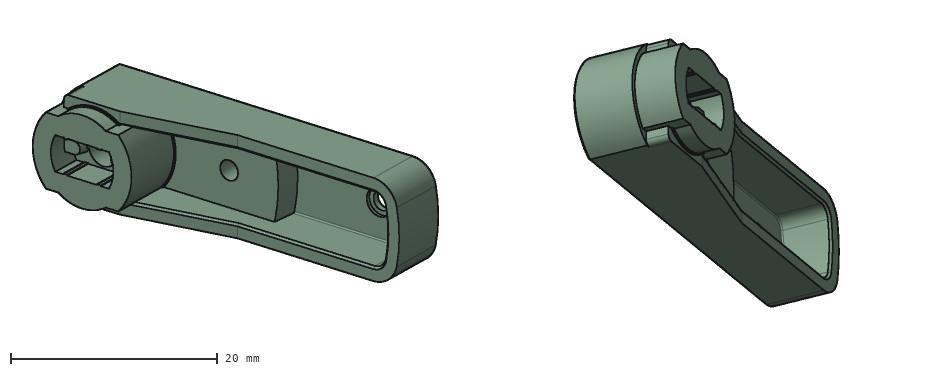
import cadquery as cq
import math


LENGTH = 41.5
HALF_WIDTH = 11.0 / 2
BUTT_RADIUS = 6.5
TIP_X = LENGTH - BUTT_RADIUS
TIP_BOW_RADIUS = 16.6
TIP_CORNER_RADIUS = 2.9
BODY_DEPTH = 6.55
BACK_CROWN = 0.1
BACK_BEVEL = 0.25
BEVEL_ANGLE = 45.0

WALL_DEPTH = 9.0
WALL_START_X = -3.7
WALL_CORNER_RADIUS = 0.6
RAMP_START_X = 3.05
RAMP_END_X = 15.45

HUB_DEPTH = 11.0
HUB_RADIUS = 5.98
HUB_FOOT_RADIUS = 6.1
HUB_FOOT_HEIGHT = 0.15
HUB_FLAT = 4.05
HUB_LOBE_RADIUS = 5.0
LOBE_COLLAR_RADIUS = 5.15
LOBE_COLLAR_DEPTH = 9.17

POCKET_INSET = 1.55
POCKET_FLOOR = 1.15
UPPER_FLOOR = 4.03
POCKET_START_X = 3.15
FLOOR_FILLET = 0.15
RIM_CHAMFER = 0.25
STEP_TOP_RADIUS = 18.45
STEP_FOOT_RADIUS = 18.68

SLOT_RADIUS = 3.78
SLOT_HALF_HEIGHT = 1.95
SLOT_DEPTH = 3.4
HUB_HOLE_RADIUS = 1.722
TONGUE_RADIUS = 0.935
TONGUE_INNER_X = 1.65
TONGUE_HEIGHT = 1.25
TONGUE_DRAFT = 9.5
RIB_X = 2.05
RIB_WIDTH = 0.45
RIB_HEIGHT = 0.1

MIDDLE_HOLE_X = 12.55
MIDDLE_HOLE_RADIUS = 1.08
TIP_HOLE_X = 28.55
TIP_HOLE_RADIUS = 1.05
COUNTERBORE_RADIUS = 1.55
COUNTERBORE_DEPTH = 0.4


def level(depth):
    """Work plane at a depth level, facing the front (-Y)."""
    return cq.Workplane("XZ", origin=(0, -depth, 0))


def cylinder(radius, start, end, x=0.0):
    return level(start).center(x, 0).circle(radius).extrude(end - start)


def lever_prism(inset, start, end, draft=0.0):
    """Prism on the lever outline, inset evenly, narrowing toward its end if drafted."""
    half = HALF_WIDTH - inset
    butt = BUTT_RADIUS - inset
    bow = TIP_BOW_RADIUS - inset
    tip = TIP_X - inset
    corner = TIP_CORNER_RADIUS - inset
    bow_center = tip - bow
    corner_z = half - corner
    corner_x = bow_center + math.sqrt((bow - corner) ** 2 - corner_z ** 2)
    bow_angle = math.atan2(corner_z, corner_x - bow_center)
    mid_angle = (bow_angle + math.pi / 2) / 2
    end_x = bow_center + bow * math.cos(bow_angle)
    end_z = bow * math.sin(bow_angle)
    mid_x = corner_x + corner * math.cos(mid_angle)
    mid_z = corner_z + corner * math.sin(mid_angle)
    butt_x = -math.sqrt(butt ** 2 - half ** 2)
    return (
        level(start)
        .moveTo(butt_x, half)
        .lineTo(corner_x, half)
        .threePointArc((mid_x, mid_z), (end_x, end_z))
        .threePointArc((tip, 0), (end_x, -end_z))
        .threePointArc((mid_x, -mid_z), (corner_x, -half))
        .lineTo(butt_x, -half)
        .threePointArc((-butt, 0), (butt_x, half))
        .close()
        .extrude(end - start, taper=draft)
    )


def make_body():
    """Crowned lever with a bevelled back edge, without the raised walls."""
    bevel = lever_prism(0, BACK_BEVEL, 0, BEVEL_ANGLE)
    body = lever_prism(0, BACK_BEVEL, BODY_DEPTH).union(bevel)
    crown_radius = (HALF_WIDTH ** 2 + BACK_CROWN ** 2) / (2 * BACK_CROWN)
    crown = (
        cq.Workplane("YZ", origin=(-BUTT_RADIUS, 0, 0))
        .center(-crown_radius, 0)
        .circle(crown_radius)
        .extrude(LENGTH)
    )
    return body.intersect(crown)


def make_walls():
    """Raised front part that ramps down to the body level."""
    walls = (
        cq.Workplane("XY", origin=(0, 0, -HALF_WIDTH))
        .moveTo(WALL_START_X, -BODY_DEPTH)
        .lineTo(WALL_START_X, -WALL_DEPTH)
        .lineTo(RAMP_START_X, -WALL_DEPTH)
        .lineTo(RAMP_END_X, -BODY_DEPTH)
        .close()
        .extrude(2 * HALF_WIDTH)
    )
    return walls.edges("<X and |Y").fillet(WALL_CORNER_RADIUS)


def plain_pocket(floor):
    """Cutter from the wall level down to a floor with rounded floor edges."""
    cutter = lever_prism(POCKET_INSET, WALL_DEPTH, floor)
    return cutter.faces(">Y").edges().fillet(FLOOR_FILLET)


def make_pocket():
    """Pocket cutter with a step up to the higher floor by the hub."""
    lower = plain_pocket(POCKET_FLOOR)
    step_height = UPPER_FLOOR - POCKET_FLOOR
    step_draft = math.degrees(math.atan((STEP_FOOT_RADIUS - STEP_TOP_RADIUS) / step_height))
    step = level(POCKET_FLOOR).circle(STEP_FOOT_RADIUS).extrude(step_height, taper=step_draft)
    hub_side = (
        level(0)
        .center(POCKET_START_X - BUTT_RADIUS, 0)
        .rect(2 * BUTT_RADIUS, 2 * HALF_WIDTH)
        .extrude(WALL_DEPTH)
    )
    return plain_pocket(UPPER_FLOOR).union(lower.cut(step)).cut(hub_side)


def chamfer_rim(lever):
    """Chamfer the front edges of the pocket, along the ramps and around the tip."""
    zone_start_x = POCKET_START_X + RIM_CHAMFER
    zone_end_x = TIP_X - POCKET_INSET + RIM_CHAMFER
    zone_half_width = HALF_WIDTH - POCKET_INSET + RIM_CHAMFER
    rim_zone = cq.selectors.BoxSelector(
        (zone_start_x, -WALL_DEPTH, -zone_half_width),
        (zone_end_x, RIM_CHAMFER - BODY_DEPTH, zone_half_width),
    )
    return lever.edges(rim_zone).chamfer(RIM_CHAMFER)


def make_hub():
    """Round hub with two flats, and a round lobe with a low collar on each flat."""
    hub_height = HUB_DEPTH - UPPER_FLOOR
    flats = level(UPPER_FLOOR).rect(2 * HUB_FOOT_RADIUS, 2 * HUB_FLAT).extrude(hub_height)
    hub = cylinder(HUB_RADIUS, UPPER_FLOOR, HUB_DEPTH)
    hub = hub.union(cylinder(HUB_FOOT_RADIUS, UPPER_FLOOR, UPPER_FLOOR + HUB_FOOT_HEIGHT))
    hub = hub.intersect(flats)
    hub = hub.union(cylinder(HUB_LOBE_RADIUS, BODY_DEPTH, HUB_DEPTH))
    return hub.union(cylinder(LOBE_COLLAR_RADIUS, BODY_DEPTH, LOBE_COLLAR_DEPTH))


def make_slot():
    """Key slot cutter: two tongues on its floor and ribs along its long sides."""
    floor = HUB_DEPTH - SLOT_DEPTH
    bounds = level(floor).rect(2 * SLOT_RADIUS, 2 * SLOT_HALF_HEIGHT).extrude(SLOT_DEPTH)
    slot = cylinder(SLOT_RADIUS, floor, HUB_DEPTH).intersect(bounds)
    tongue_length = 2 * SLOT_RADIUS
    for side in (-1, 1):
        tongue = (
            level(floor)
            .center(side * (TONGUE_INNER_X + tongue_length / 2), 0)
            .slot2D(tongue_length, 2 * TONGUE_RADIUS)
            .extrude(TONGUE_HEIGHT, taper=TONGUE_DRAFT)
        )
        slot = slot.cut(tongue)
    ribs = (
        level(floor)
        .rect(2 * RIB_X, 2 * SLOT_HALF_HEIGHT, forConstruction=True)
        .vertices()
        .rect(RIB_WIDTH, 2 * RIB_HEIGHT)
        .extrude(SLOT_DEPTH)
    )
    return slot.cut(ribs)


lever = make_body().union(make_walls()).cut(make_pocket())
result = chamfer_rim(lever).union(make_hub()).cut(make_slot())

result = result.cut(cylinder(HUB_HOLE_RADIUS, 0, HUB_DEPTH))
result = result.cut(cylinder(MIDDLE_HOLE_RADIUS, 0, UPPER_FLOOR, MIDDLE_HOLE_X))
result = result.cut(cylinder(TIP_HOLE_RADIUS, 0, POCKET_FLOOR, TIP_HOLE_X))
counterbore_level = POCKET_FLOOR - COUNTERBORE_DEPTH
result = result.cut(cylinder(COUNTERBORE_RADIUS, counterbore_level, POCKET_FLOOR, TIP_HOLE_X))